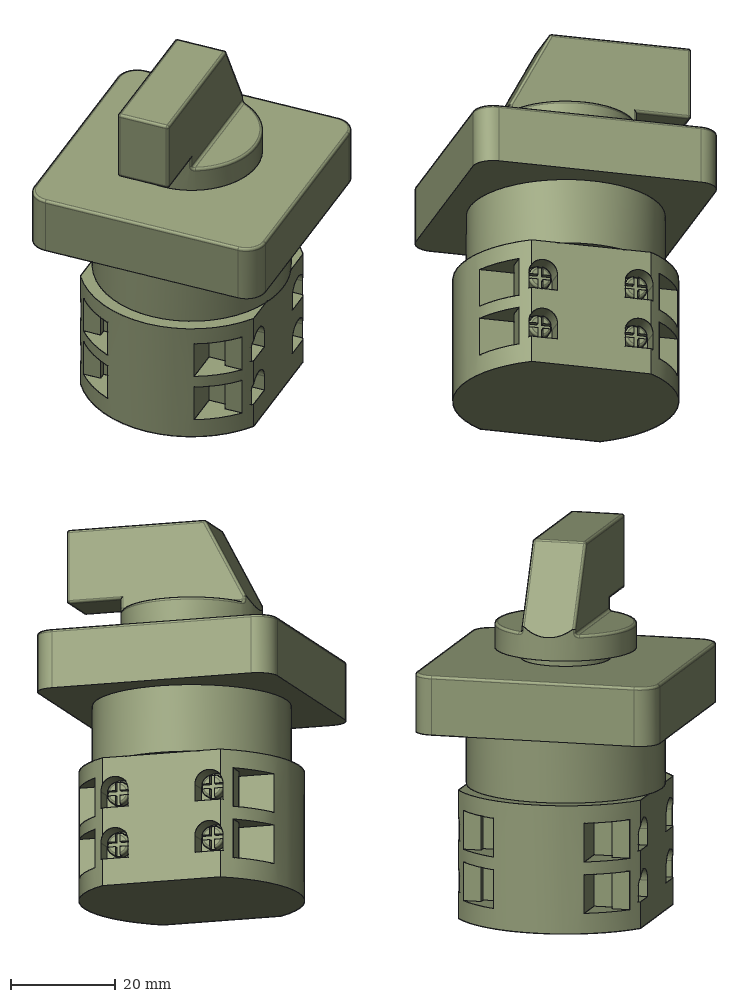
import cadquery as cq

total_height = 73.0
body_height = 25.0
collar_height = 13.0
plate_height = 11.45
neck_height = 2.05
disk_height = 5.0
collar_base = body_height
plate_base = collar_base + collar_height
neck_base = plate_base + plate_height
disk_base = neck_base + neck_height
disk_top = disk_base + disk_height

body_radius = 21.5
body_across_flats = 36.0
flat_x = body_across_flats / 2
tier_pitch = 10.0
lower_tier_z = 7.75
tier_heights = [lower_tier_z, lower_tier_z + tier_pitch]

window_height = 7.5
window_outer_x = 16.4
window_step_x = 12.9
window_inner_x = 9.0
window_back_y = 13.9
window_deep_y = 12.4

pocket_y = 9.5
pocket_radius = 2.8
pocket_depth = 4.0
pocket_axis_rise = 0.65
pocket_drop = 3.2
screw_radius = 2.25
screw_head_height = 2.0
screw_rounding = 0.5
screw_slot_width = 0.95
screw_slot_depth = 1.0

collar_radius = 19.0
plate_side = 48.0
plate_corner_radius = 4.0
neck_radius = 8.55
edge_radius = 0.5

disk_radius = 13.5
grip_width = 10.6
grip_front_y = -23.35
grip_underside = 58.7
grip_slope_top_y = 4.45


def cylinder(radius, base, top):
    """Upright cylinder on the Z axis between two heights."""
    return cq.Workplane("XY", origin=(0, 0, base)).circle(radius).extrude(top - base)


def block(x_range, y_range, z_range):
    """Box spanning the given (low, high) ranges."""
    spans = [high - low for low, high in (x_range, y_range, z_range)]
    corner = (x_range[0], y_range[0], z_range[0])
    return cq.Workplane("XY").box(*spans, centered=False).translate(corner)


def wire_window(tier_z):
    """Stepped window in the (-X, -Y) quarter of the contact block."""
    z_range = (tier_z - window_height / 2, tier_z + window_height / 2)
    shallow = block((-window_outer_x, -window_inner_x), (-body_radius, -window_back_y), z_range)
    deep = block((-window_step_x, -window_inner_x), (-body_radius, -window_deep_y), z_range)
    return shallow.union(deep)


def screw_pocket(tier_z):
    """Pocket in the -X flat at -Y with a cross-slotted screw head left standing in it."""
    back_plane = cq.Workplane("YZ", origin=(pocket_depth - flat_x, -pocket_y, tier_z + pocket_axis_rise))
    cut_length = pocket_depth + body_radius - flat_x
    pocket = (
        back_plane.moveTo(-pocket_radius, 0)
        .threePointArc((0, pocket_radius), (pocket_radius, 0))
        .lineTo(pocket_radius, -pocket_drop)
        .lineTo(-pocket_radius, -pocket_drop)
        .close()
        .extrude(-cut_length)
    )
    head = back_plane.circle(screw_radius).extrude(-screw_head_height)
    head = head.faces("<X").edges().fillet(screw_rounding)
    slot_plane = back_plane.workplane(offset=-screw_head_height)
    slot_length = 2 * screw_radius
    for size_y, size_z in [(slot_length, screw_slot_width), (screw_slot_width, slot_length)]:
        head = head.cut(slot_plane.rect(size_y, size_z).extrude(screw_slot_depth))
    return pocket.cut(head)


def contact_block():
    """Round block with two flats and the same openings in all four quarters of each tier."""
    body = cylinder(body_radius, 0, body_height)
    body = body.intersect(
        block((-flat_x, flat_x), (-body_radius, body_radius), (0, body_height))
    )
    for tier_z in tier_heights:
        for cutter in (wire_window(tier_z), screw_pocket(tier_z)):
            pair = cutter.union(cutter.mirror("XZ"))
            body = body.cut(pair).cut(pair.mirror("YZ"))
    return body


def front_plate():
    """Square plate with round corners and a softened upper edge."""
    plate = cq.Workplane("XY", origin=(0, 0, plate_base)).rect(plate_side, plate_side)
    plate = plate.extrude(plate_height).edges("|Z").fillet(plate_corner_radius)
    return plate.faces(">Z").edges().fillet(edge_radius)


def knob():
    """Disk and grip as one body."""
    half_width = grip_width / 2
    disk = cylinder(disk_radius, disk_base, disk_top)
    slab = block((-half_width, half_width), (-plate_side, plate_side), (disk_base, total_height))
    column = slab.intersect(cylinder(disk_radius, disk_base, total_height))
    overhang = block(
        (-half_width, half_width), (grip_front_y, 0), (grip_underside, total_height)
    )
    above_slope = (
        cq.Workplane("YZ", origin=(-half_width, 0, 0))
        .moveTo(grip_slope_top_y, total_height)
        .lineTo(disk_radius, disk_top - edge_radius)
        .lineTo(disk_radius, total_height)
        .close()
        .extrude(grip_width)
    )
    body = disk.union(column).union(overhang).cut(above_slope)
    above_rim = cq.selectors.BoxSelector(
        (-plate_side, -plate_side, disk_top - edge_radius / 2),
        (plate_side, plate_side, total_height + edge_radius),
    )
    slope_foot = cq.selectors.TypeSelector("ELLIPSE")
    overhang_arc = cq.selectors.NearestToPointSelector((0, -disk_radius, grip_underside))
    return body.edges(above_rim - slope_foot - overhang_arc).fillet(edge_radius)


neck = cylinder(neck_radius, neck_base, disk_base)
collar = cylinder(collar_radius, collar_base, plate_base)
result = contact_block().union(collar).union(front_plate()).union(neck).union(knob())